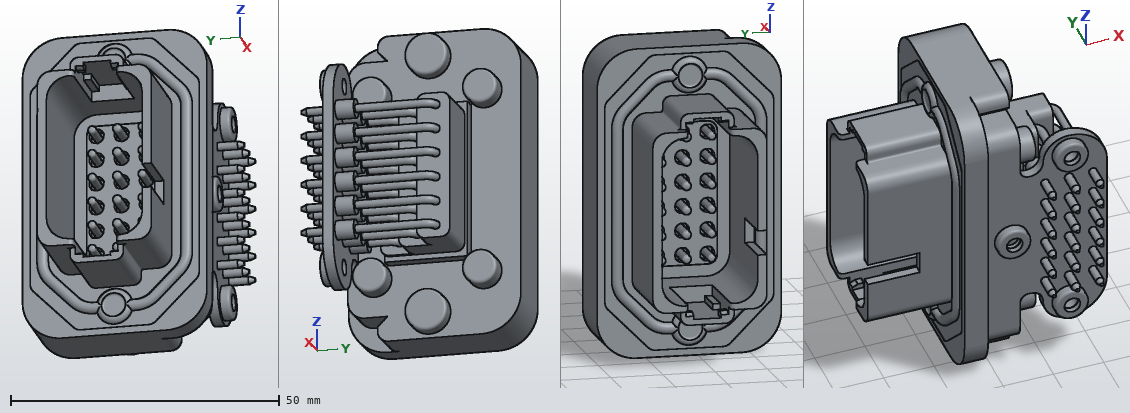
import cadquery as cq
import math


FLANGE_Y = 35.3
FLANGE_Z = 59.2
FLANGE_THICKNESS = 4.72
FLANGE_CORNER = 7.55

BODY_BACK_X = 11.75
BODY_FRONT_Y = -15.87
BODY_SHOULDER_Z = 24.77
BODY_EDGE_RADIUS = 3.37
LUG_SIDE_Y = -10.1
LUG_EDGE_RADIUS = 2.1
UNDERCUT = 1.93

SHROUD_FRONT_X = -16.71
SHROUD_Y = 21.8
SHROUD_Z = 34.5
SHROUD_CORNER = 2.65
CAVITY_Y = 18.3
CAVITY_Z = 32.1
CAVITY_CORNER = 4.4
CAVITY_FLOOR_X = 6.0
WINDOW_BACK_X = -6.35
WINDOW_LOW_Z = -7.05
WINDOW_HIGH_Z = -2.4

TUNNEL_FRONT_X = -14.72
TUNNEL_BACK_X = -1.35
TUNNEL_Y = 10.2
TUNNEL_TOP_Z = 20.25
TUNNEL_EDGE_RADIUS = 1.6
TUNNEL_FOOT_RADIUS = 0.45
CHANNEL_Y = 8.12
CHANNEL_TOP_Z = 19.17
NOTCH_LIP_RADIUS = 0.95

RAIL_INNER_Y = 2.62
RAIL_TOP_Z = 18.04
RAIL_FRONT_X = -8.1
RAMP_BLOCK_LENGTH = 2.25
RAMP_LENGTH = 1.1
RAMP_RISE = 0.53

SEAL_DIAMETER = 2.2
SEAL_HEIGHT = 1.0
SEAL_HALF_Y = 13.77
SEAL_HALF_Z = 24.15
SEAL_CORNER_CUT = 7.62
SEAL_BEND_RADIUS = 5.2
SEAL_BEND_ANGLE = 45
SEAL_RING_RADIUS = 2.38
SCREW_HOLE_DIAMETER = 4.6
SCREW_HOLE_FLOOR_X = -0.52
SCREW_HOLE_FILLET = 0.47

SEAT_DEPTH = 0.05
SEAT_Y = 32.3
SEAT_Z = 56.5
SEAT_CORNER_CUT = 8.85
SEAT_BEND_RADIUS = 2.0

SCREW_BOSS_DIAMETER = 8.1
SCREW_BOSS_Z = 24.8
SCREW_BOSS_END_X = 14.8
STAND_BOSS_DIAMETER = 6.6
STAND_BOSS_END_X = 15.75
STAND_BOSS_Y = 10.65
STAND_BOSS_Z = 17.56
BOSS_EDGE_RADIUS = 0.6
FOOT_HEIGHT = 1.88
FOOT_EDGE_RADIUS = 0.5
FOOT_HOLE_DIAMETER = 3.15
FOOT_HOLE_DEPTH = 1.15
FOOT_PILOT_DIAMETER = 3.0
CENTER_PILOT_DEPTH = 2.1
CENTER_FOOT_X = 9.95

PLATE_END_X = 29.02
PLATE_THICKNESS = 2.05
PLATE_BACK_Y = BODY_FRONT_Y + PLATE_THICKNESS
EAR_X = 21.4
EAR_TOP_Z = 21.65
EAR_LEFT_X = 16.3
SLOT_BOTTOM_Z = 14.0
SLOT_CORNER = 1.7
SLOT_EAR_RADIUS = 2.6

PIN_PITCH_Y = 4.8
PIN_PITCH_X = 4.77
PIN_PITCH_Z = 4.68
PINS_PER_ROW = 6
PIN_ROWS = (-1, 0, 1)
PIN_DIAMETER = 1.57
MIDDLE_PIN_DIAMETER = 1.72
PIN_BEND_RADIUS = 1.85
PIN_TIP_Y = -20.76
INNER_ROW_DROP = 0.17
PIN_CONE_LENGTH = 1.15
PIN_CONE_END_DIAMETER = 0.7
PIN_FRONT_X = 1.5
PIN_NOSE_FLAT = 0.4
PIN_WELL_DIAMETER = 2.79
PIN_WELL_DEPTH = 2.0
COLLAR_DIAMETER = 3.63
COLLAR_HEIGHT = 3.6

PAD_Y = 13.44
PAD_Z = 27.4
PAD_CORNER = 1.9
PAD_HEIGHT = 0.3

BLOCK_Z = 28.0
BLOCK_EDGE_RADIUS = 1.6
BLOCK_TOP_Y = 7.46
BLOCK_BELOW_PIN = 3.73
BLOCK_TO_PIN = 1.54
BASE_END_X = 14.3
BASE_Y = 16.0
BASE_Z = 30.0


def slab(x_start, x_end, size_y, size_z, y_center=0.0):
    """Block between two X planes, centred on Z = 0."""
    block = cq.Workplane("XY").box(x_end - x_start, size_y, size_z)
    return block.translate(((x_start + x_end) / 2, y_center, 0))


def cylinder_x(x_start, x_end, diameter, y=0.0, z=0.0):
    plane = cq.Workplane("YZ", origin=(x_start, y, z))
    return plane.circle(diameter / 2).extrude(x_end - x_start)


def cylinder_y(y_start, y_end, diameter, x, z):
    """Cylinder from y_start down to the lower y_end."""
    plane = cq.Workplane("XZ", origin=(x, y_start, z))
    return plane.circle(diameter / 2).extrude(y_start - y_end)


def both_ends(shape):
    """The shape together with its mirror image about Z = 0."""
    return shape.union(shape.mirror("XY"))


def make_flange():
    flange = slab(0, FLANGE_THICKNESS, FLANGE_Y, FLANGE_Z)
    return flange.edges("|X").fillet(FLANGE_CORNER)


def make_body():
    half_y = FLANGE_Y / 2
    half_z = FLANGE_Z / 2
    outline = (
        cq.Workplane("YZ", origin=(FLANGE_THICKNESS, 0, 0))
        .moveTo(BODY_FRONT_Y, 0)
        .lineTo(BODY_FRONT_Y, BODY_SHOULDER_Z - BODY_EDGE_RADIUS)
        .tangentArcPoint((BODY_FRONT_Y + BODY_EDGE_RADIUS, BODY_SHOULDER_Z), relative=False)
        .lineTo(LUG_SIDE_Y + UNDERCUT, BODY_SHOULDER_Z)
        .lineTo(LUG_SIDE_Y, BODY_SHOULDER_Z + UNDERCUT)
        .lineTo(LUG_SIDE_Y, half_z - LUG_EDGE_RADIUS)
        .tangentArcPoint((LUG_SIDE_Y + LUG_EDGE_RADIUS, half_z), relative=False)
        .lineTo(half_y - FLANGE_CORNER, half_z)
        .tangentArcPoint((half_y, half_z - FLANGE_CORNER), relative=False)
        .lineTo(half_y, 0)
        .mirrorX()
    )
    return outline.extrude(BODY_BACK_X - FLANGE_THICKNESS)


def make_tunnel_shell():
    """Outside of the latch tunnel on the +Z end, with concave feet onto the shroud."""
    half_y = TUNNEL_Y / 2
    shroud_top = SHROUD_Z / 2
    foot_y = half_y + TUNNEL_FOOT_RADIUS
    foot_z = shroud_top + TUNNEL_FOOT_RADIUS
    edge_z = TUNNEL_TOP_Z - TUNNEL_EDGE_RADIUS
    flat_y = half_y - TUNNEL_EDGE_RADIUS
    root_z = CAVITY_Z / 2
    outline = (
        cq.Workplane("YZ", origin=(TUNNEL_FRONT_X, 0, 0))
        .moveTo(-foot_y, root_z)
        .lineTo(-foot_y, shroud_top)
        .radiusArc((-half_y, foot_z), -TUNNEL_FOOT_RADIUS)
        .lineTo(-half_y, edge_z)
        .tangentArcPoint((-flat_y, TUNNEL_TOP_Z), relative=False)
        .lineTo(flat_y, TUNNEL_TOP_Z)
        .tangentArcPoint((half_y, edge_z), relative=False)
        .lineTo(half_y, foot_z)
        .radiusArc((foot_y, shroud_top), -TUNNEL_FOOT_RADIUS)
        .lineTo(foot_y, root_z)
        .close()
    )
    return outline.extrude(SEAT_DEPTH - TUNNEL_FRONT_X)


def make_tunnel_channel():
    """Space inside the +Z latch tunnel, with lip roundings where it leaves the shroud front."""
    half_y = CHANNEL_Y / 2
    lip_x = SHROUD_FRONT_X + NOTCH_LIP_RADIUS
    lip_y = half_y + NOTCH_LIP_RADIUS
    outline = (
        cq.Workplane("XY")
        .moveTo(SHROUD_FRONT_X, 0)
        .lineTo(SHROUD_FRONT_X, lip_y)
        .radiusArc((lip_x, half_y), -NOTCH_LIP_RADIUS)
        .lineTo(TUNNEL_BACK_X, half_y)
        .lineTo(TUNNEL_BACK_X, 0)
        .mirrorX()
    )
    return outline.extrude(CHANNEL_TOP_Z)


def make_rails():
    """Long rail and short ramped block on each side of the +Z latch tunnel."""
    rail_width = CHANNEL_Y / 2 - RAIL_INNER_Y
    block_back_x = TUNNEL_FRONT_X + RAMP_BLOCK_LENGTH
    side = cq.Workplane("XZ", origin=(0, CHANNEL_Y / 2, 0))
    rail = side.moveTo(RAIL_FRONT_X, RAIL_TOP_Z).lineTo(TUNNEL_BACK_X, RAIL_TOP_Z)
    rail = rail.lineTo(TUNNEL_BACK_X, CHANNEL_TOP_Z).lineTo(RAIL_FRONT_X, CHANNEL_TOP_Z)
    rail = rail.close().extrude(rail_width)
    ramp = side.moveTo(TUNNEL_FRONT_X, CHANNEL_TOP_Z).lineTo(TUNNEL_FRONT_X, RAIL_TOP_Z + RAMP_RISE)
    ramp = ramp.lineTo(TUNNEL_FRONT_X + RAMP_LENGTH, RAIL_TOP_Z).lineTo(block_back_x, RAIL_TOP_Z)
    ramp = ramp.lineTo(block_back_x, CHANNEL_TOP_Z).close().extrude(rail_width)
    one_side = rail.union(ramp)
    return one_side.union(one_side.mirror("XZ"))


def make_shroud():
    shroud = slab(SHROUD_FRONT_X, SEAT_DEPTH, SHROUD_Y, SHROUD_Z)
    shroud = shroud.edges("|X").fillet(SHROUD_CORNER)
    return shroud.union(both_ends(make_tunnel_shell()))


def make_cavity():
    cavity = slab(SHROUD_FRONT_X, CAVITY_FLOOR_X, CAVITY_Y, CAVITY_Z)
    cavity = cavity.edges("|X").fillet(CAVITY_CORNER)
    return cavity.union(both_ends(make_tunnel_channel()))


def make_window():
    """Open-ended slot through the -Y shroud wall."""
    length = WINDOW_BACK_X - SHROUD_FRONT_X
    height = WINDOW_HIGH_Z - WINDOW_LOW_Z
    corner = (SHROUD_FRONT_X, -SHROUD_Y / 2, WINDOW_LOW_Z)
    return cq.Workplane("XY", origin=corner).box(length, SHROUD_Y / 2, height, centered=False)


def make_seal():
    center_x = SEAL_DIAMETER / 2 - SEAL_HEIGHT
    radius = SEAL_DIAMETER / 2
    tangent = SEAL_BEND_RADIUS * math.tan(math.radians(SEAL_BEND_ANGLE / 2))
    diagonal_step = tangent / math.sqrt(2)
    corner_y = SEAL_HALF_Y - SEAL_CORNER_CUT
    corner_z = SEAL_HALF_Z - SEAL_CORNER_CUT
    quarter_start = (SEAL_HALF_Y, corner_z - tangent)
    side_bend_end = (SEAL_HALF_Y - diagonal_step, corner_z + diagonal_step)
    end_bend_start = (corner_y + diagonal_step, SEAL_HALF_Z - diagonal_step)
    quarter_end = (corner_y - tangent, SEAL_HALF_Z)
    path = (
        cq.Workplane("YZ", origin=(center_x, 0, 0))
        .moveTo(SEAL_HALF_Y, 0)
        .lineTo(*quarter_start)
        .tangentArcPoint(side_bend_end, relative=False)
        .lineTo(*end_bend_start)
        .tangentArcPoint(quarter_end, relative=False)
        .lineTo(0, SEAL_HALF_Z)
    )
    quarter = cq.Workplane("XY", origin=(center_x, SEAL_HALF_Y, 0)).circle(radius).sweep(path)
    half = quarter.union(quarter.mirror("XZ"))
    plug = cylinder_x(SCREW_HOLE_FLOOR_X, SEAT_DEPTH, SCREW_HOLE_DIAMETER, z=SEAL_HALF_Z)
    ring = cq.Solid.makeTorus(
        SEAL_RING_RADIUS, radius, cq.Vector(center_x, 0, SEAL_HALF_Z), cq.Vector(1, 0, 0)
    )
    return both_ends(half.union(cq.Workplane(ring)).union(plug))


def make_screw_hole():
    """Blind recess in the +Z seal ring, rounded at its floor."""
    hole = cylinder_x(-SEAL_DIAMETER, SCREW_HOLE_FLOOR_X, SCREW_HOLE_DIAMETER, z=SEAL_HALF_Z)
    return hole.faces(">X").edges().fillet(SCREW_HOLE_FILLET)


def make_seat():
    seat = slab(0, SEAT_DEPTH, SEAT_Y, SEAT_Z)
    seat = seat.edges("|X").chamfer(SEAT_CORNER_CUT)
    return seat.edges("|X").fillet(SEAT_BEND_RADIUS)


def make_pin_pad():
    pad = slab(CAVITY_FLOOR_X - PAD_HEIGHT, CAVITY_FLOOR_X, PAD_Y, PAD_Z)
    return pad.edges("|X").fillet(PAD_CORNER)


def make_back_bosses():
    screw_boss = cylinder_x(FLANGE_THICKNESS, SCREW_BOSS_END_X, SCREW_BOSS_DIAMETER, z=SCREW_BOSS_Z)
    bosses = screw_boss.faces(">X").edges().fillet(BOSS_EDGE_RADIUS)
    for y in (-STAND_BOSS_Y, STAND_BOSS_Y):
        boss = cylinder_x(FLANGE_THICKNESS, STAND_BOSS_END_X, STAND_BOSS_DIAMETER, y, STAND_BOSS_Z)
        bosses = bosses.union(boss.faces(">X").edges().fillet(BOSS_EDGE_RADIUS))
    return both_ends(bosses)


def make_plate():
    """Board plate with rounded ears, parted from the body by two slots."""
    half_plate = (
        cq.Workplane("XZ", origin=(0, PLATE_BACK_Y, 0))
        .moveTo(BODY_BACK_X, 0)
        .lineTo(BODY_BACK_X, SLOT_BOTTOM_Z + SLOT_CORNER)
        .radiusArc((BODY_BACK_X + SLOT_CORNER, SLOT_BOTTOM_Z), -SLOT_CORNER)
        .lineTo(EAR_LEFT_X - SLOT_EAR_RADIUS, SLOT_BOTTOM_Z)
        .tangentArcPoint((EAR_LEFT_X, SLOT_BOTTOM_Z + SLOT_EAR_RADIUS), relative=False)
        .tangentArcPoint((EAR_X, EAR_TOP_Z), relative=False)
        .tangentArcPoint((PLATE_END_X, EAR_TOP_Z - (PLATE_END_X - EAR_X)), relative=False)
        .lineTo(PLATE_END_X, 0)
        .mirrorX()
    )
    return half_plate.extrude(PLATE_THICKNESS)


def make_foot(x, z):
    foot = cylinder_y(BODY_FRONT_Y, BODY_FRONT_Y - FOOT_HEIGHT, STAND_BOSS_DIAMETER, x, z)
    return foot.faces("<Y").edges().fillet(FOOT_EDGE_RADIUS)


def make_pin_block():
    """Block stepped back under each pin row, standing on a shallow base."""
    block = slab(BODY_BACK_X, BASE_END_X, BASE_Y, BASE_Z)
    for row in PIN_ROWS:
        end_x = row_x(row) - BLOCK_TO_PIN
        bottom_y = row * PIN_PITCH_Y - BLOCK_BELOW_PIN
        height = BLOCK_TOP_Y - bottom_y
        step = slab(BODY_BACK_X, end_x, height, BLOCK_Z, bottom_y + height / 2)
        block = block.union(step.edges("|X").fillet(BLOCK_EDGE_RADIUS))
    return block


def row_x(row):
    return EAR_X + row * PIN_PITCH_X


def make_pin(row, z):
    """Pin that runs back along X, bends toward -Y and ends in a cone below the plate."""
    diameter = PIN_DIAMETER if row else MIDDLE_PIN_DIAMETER
    y = row * PIN_PITCH_Y
    x = row_x(row)
    drop = INNER_ROW_DROP if row < 0 else 0
    cone_y = PIN_TIP_Y + PIN_CONE_LENGTH - drop
    path = (
        cq.Workplane("XY", origin=(0, 0, z))
        .moveTo(PIN_FRONT_X, y)
        .lineTo(x - PIN_BEND_RADIUS, y)
        .tangentArcPoint((x, y - PIN_BEND_RADIUS), relative=False)
        .lineTo(x, cone_y)
    )
    pin = cq.Workplane("YZ", origin=(PIN_FRONT_X, y, z)).circle(diameter / 2).sweep(path)
    pin = pin.faces("<X").edges().fillet((diameter - PIN_NOSE_FLAT) / 2)
    cone = cq.Solid.makeCone(
        diameter / 2,
        PIN_CONE_END_DIAMETER / 2,
        PIN_CONE_LENGTH,
        cq.Vector(x, cone_y, z),
        cq.Vector(0, -1, 0),
    )
    collar = cylinder_y(PLATE_BACK_Y + COLLAR_HEIGHT - drop, PLATE_BACK_Y, COLLAR_DIAMETER, x, z)
    return pin.union(cq.Workplane(cone)).union(collar)


def foot_places():
    return [(EAR_X, STAND_BOSS_Z), (EAR_X, -STAND_BOSS_Z), (CENTER_FOOT_X, 0)]


def pin_places():
    middle = (PINS_PER_ROW - 1) / 2
    return [(row, (index - middle) * PIN_PITCH_Z) for row in PIN_ROWS for index in range(PINS_PER_ROW)]


def add_feet(part):
    """Feet on the board side: each bored wide then narrow, through the ears and blind in the body."""
    end_y = BODY_FRONT_Y - FOOT_HEIGHT
    for x, z in foot_places():
        pilot_y = end_y + CENTER_PILOT_DEPTH if x == CENTER_FOOT_X else PLATE_BACK_Y
        part = part.union(make_foot(x, z))
        part = part.cut(cylinder_y(end_y + FOOT_HOLE_DEPTH, end_y, FOOT_HOLE_DIAMETER, x, z))
        part = part.cut(cylinder_y(pilot_y, end_y, FOOT_PILOT_DIAMETER, x, z))
    return part


def add_pins(part):
    """Pins, each standing in a round well sunk into the pad."""
    well_top_x = CAVITY_FLOOR_X - PAD_HEIGHT
    well_bottom_x = well_top_x + PIN_WELL_DEPTH
    for row, z in pin_places():
        part = part.cut(cylinder_x(well_top_x, well_bottom_x, PIN_WELL_DIAMETER, row * PIN_PITCH_Y, z))
        part = part.union(make_pin(row, z))
    return part


part = make_flange().cut(make_seat())
part = part.union(make_body()).union(make_shroud()).union(make_seal())
part = part.cut(make_cavity()).cut(make_window()).cut(both_ends(make_screw_hole()))
part = part.union(both_ends(make_rails())).union(make_pin_pad())
part = part.union(make_back_bosses()).union(make_plate()).union(make_pin_block())
part = add_feet(part)
result = add_pins(part)